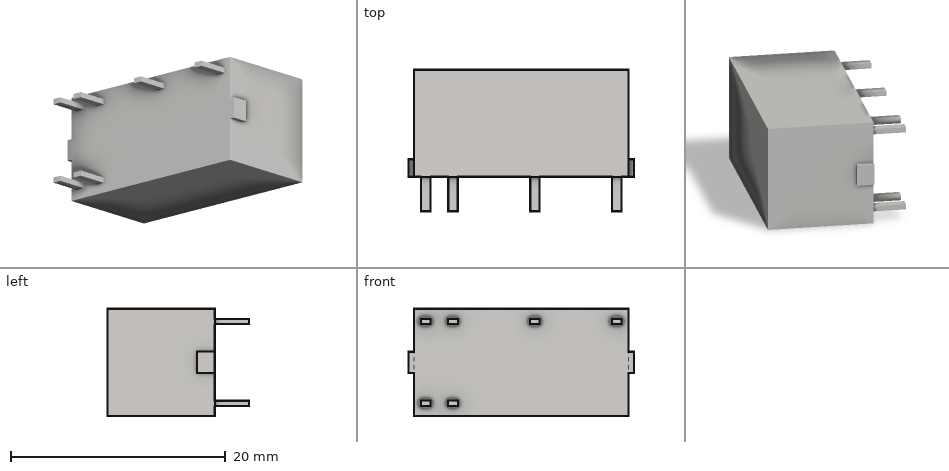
import cadquery as cq

BODY_LENGTH = 20.0
BODY_DEPTH = 10.0
BODY_HEIGHT = 10.0

TAB_PROJECTION = 0.5
TAB_DEPTH = 1.65
TAB_HEIGHT = 2.0

PITCH = 2.54
PIN_WIDTH = 0.9
PIN_THICKNESS = 0.5
PIN_LENGTH = 3.2
ROW_Z = 1.5 * PITCH
FIRST_PIN_X = -3.5 * PITCH
UPPER_ROW_STEPS = (0, 1, 4, 7)
LOWER_ROW_STEPS = (0, 1)


def make_body():
    return cq.Workplane("XY").box(
        BODY_LENGTH, BODY_DEPTH, BODY_HEIGHT, centered=(True, False, True)
    )


def make_tabs():
    """One bar running through the body, leaving a tab at each end."""
    span = BODY_LENGTH + 2 * TAB_PROJECTION
    return cq.Workplane("XY").box(span, TAB_DEPTH, TAB_HEIGHT, centered=(True, False, True))


def make_pins():
    upper_row = [(FIRST_PIN_X + step * PITCH, ROW_Z) for step in UPPER_ROW_STEPS]
    lower_row = [(FIRST_PIN_X + step * PITCH, -ROW_Z) for step in LOWER_ROW_STEPS]
    return (
        cq.Workplane("XZ")
        .pushPoints(upper_row + lower_row)
        .rect(PIN_WIDTH, PIN_THICKNESS)
        .extrude(PIN_LENGTH)
    )


result = make_body().union(make_tabs()).union(make_pins())